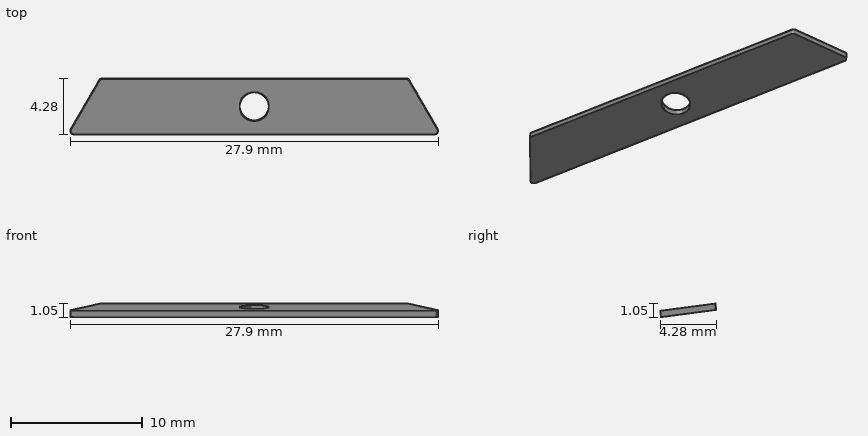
import cadquery as cq
import math

overall_length = 27.9
plate_width = 4.25
plate_thickness = 0.5
tilt_angle = 7.5
end_angle = 60.0
corner_radius = 0.25
hole_diameter = 2.2

corner_setback = corner_radius / math.tan(math.radians(end_angle / 2))
long_edge = overall_length + 2 * (corner_setback - corner_radius)
short_edge = long_edge - 2 * plate_width / math.tan(math.radians(end_angle))


def make_plate():
    """Flat trapezoidal plate with rounded corners, centred on the origin."""
    half_width = plate_width / 2
    outline = [
        (-long_edge / 2, -half_width),
        (long_edge / 2, -half_width),
        (short_edge / 2, half_width),
        (-short_edge / 2, half_width),
    ]
    plate = cq.Workplane("XY").polyline(outline).close().extrude(plate_thickness / 2, both=True)
    return plate.edges("|Z").fillet(corner_radius)


def cut_hole(plate):
    """Central through hole, square to the plate faces."""
    return plate.faces(">Z").workplane(origin=(0, 0, 0)).hole(hole_diameter)


result = cut_hole(make_plate()).rotate((0, 0, 0), (1, 0, 0), tilt_angle)